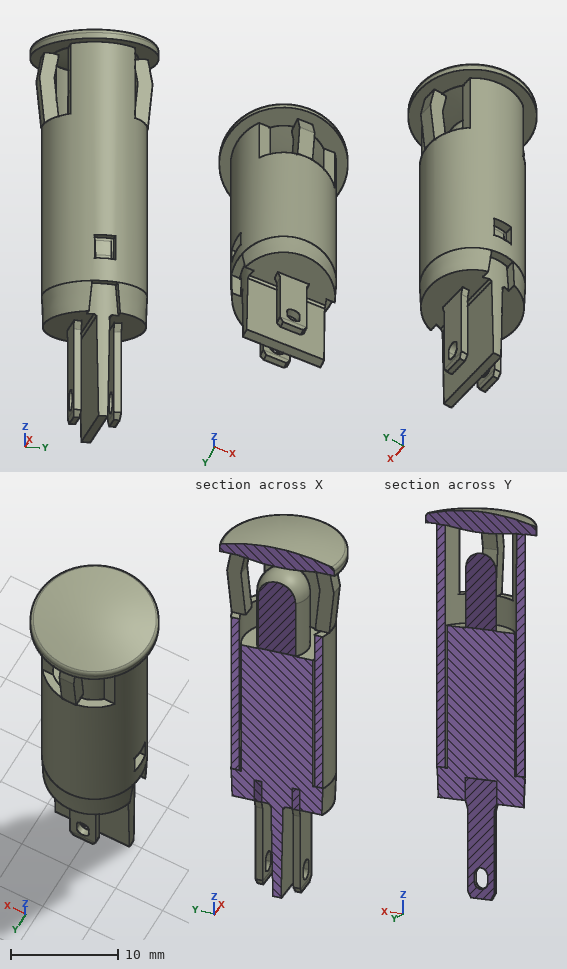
import cadquery as cq
import math

TOTAL_HEIGHT = 38.25
COLLAR_BOTTOM = 10.02
HOUSING_BOTTOM = 12.95
OPENING_BOTTOM = 29.55
HOUSING_TOP = 36.45

HOUSING_RADIUS = 4.95
BORE_RADIUS = 4.1
OPENING_HALF_DEPTH = 3.05
CLIP_WIDTH = 1.53
CLIP_THICKNESS = 1.4
CLIP_BULGE = 0.45
CLIP_KNEE_HEIGHT = 34.05
WINDOW_WIDTH = 2.0
WINDOW_BOTTOM = 15.2
WINDOW_TOP = 17.48

CAP_RADIUS = 6.0
CAP_RIM_TOP = 37.03
DOME_EDGE_RADIUS = 5.75
DOME_EDGE_HEIGHT = 37.4
LENS_BOTTOM = 36.0
DOME_RISE = TOTAL_HEIGHT - DOME_EDGE_HEIGHT
LENS_SURFACE_RADIUS = (DOME_EDGE_RADIUS**2 + DOME_RISE**2) / (2 * DOME_RISE)

LAMP_RADIUS = 2.5
LAMP_SHOULDER = 32.55

CORE_RADIUS = 3.98
CORE_TOP = 26.78
FIN_ROOT_THICKNESS = 1.25
FIN_TIP_THICKNESS = 0.88
FIN_ROOT_CHAMFER = 0.23
LUG_RADIUS = 4.2
LUG_WIDTH = 1.53
LUG_BOTTOM = 15.25
LUG_BAND_TOP = 15.75
LUG_TOP = 17.25
COLLAR_BOTTOM_RADIUS = 4.82
COLLAR_SLOT_TOP_WIDTH = 2.45
COLLAR_SLOT_BOTTOM_WIDTH = 3.0

TERMINAL_OFFSET = 1.9
TERMINAL_THICKNESS = 0.73
TERMINAL_WIDTH = 2.75
TERMINAL_ROOT_WIDTH = 3.2
TERMINAL_TIP = 0.7
TERMINAL_BEVEL_TOP = 1.35
TERMINAL_BEVEL_INSET = 0.35
TERMINAL_BEVEL_DEPTH = 0.08
TERMINAL_SHOULDER = 9.25
TERMINAL_TOP = 12.25
EYELET_WIDTH = 1.3
EYELET_LENGTH = 2.03
EYELET_HEIGHT = 2.68

SIDES = (-1, 1)


def cylinder(radius, bottom, top):
    return cq.Workplane("XY").workplane(offset=bottom).circle(radius).extrude(top - bottom)


def box_between(width, depth, bottom, top):
    """A box centred on the Z axis, from one height to another."""
    return cq.Workplane("XY").workplane(offset=bottom).rect(width, depth).extrude(top - bottom)


def extrude_across(profile, length):
    """Extrude a profile symmetrically to both sides of its plane."""
    return profile.extrude(length / 2, both=True)


def make_clip(side):
    """A bent panel clip standing in one side opening."""
    outer = HOUSING_RADIUS
    inner = outer - CLIP_THICKNESS
    points = [
        (side * inner, OPENING_BOTTOM),
        (side * outer, OPENING_BOTTOM),
        (side * (outer + CLIP_BULGE), CLIP_KNEE_HEIGHT),
        (side * outer, HOUSING_TOP),
        (side * inner, HOUSING_TOP),
        (side * (inner + CLIP_BULGE), CLIP_KNEE_HEIGHT),
    ]
    return extrude_across(cq.Workplane("YZ").polyline(points).close(), CLIP_WIDTH)


def make_housing(lens_cap):
    """Tube with two side openings, a clip in each, and two snap windows; the clips clear the lens."""
    diameter = 2 * HOUSING_RADIUS
    tube = cylinder(HOUSING_RADIUS, HOUSING_BOTTOM, HOUSING_TOP)
    tube = tube.cut(cylinder(BORE_RADIUS, HOUSING_BOTTOM, HOUSING_TOP))
    upper = box_between(diameter, diameter, OPENING_BOTTOM, HOUSING_TOP)
    kept = box_between(diameter, 2 * OPENING_HALF_DEPTH, OPENING_BOTTOM, HOUSING_TOP)
    tube = tube.cut(upper.cut(kept))
    tube = tube.cut(box_between(diameter, WINDOW_WIDTH, WINDOW_BOTTOM, WINDOW_TOP))
    for side in SIDES:
        tube = tube.union(make_clip(side))
    return tube.cut(lens_cap)


def lens_sag(radius):
    """Depth of the lens surface below its apex at a given radius."""
    return LENS_SURFACE_RADIUS - math.sqrt(LENS_SURFACE_RADIUS**2 - radius**2)


def make_lens_cap():
    """Rimmed lens, convex above and below, with a shallow plug in the bore."""
    plug_middle = BORE_RADIUS / 2
    dome_middle = DOME_EDGE_RADIUS / 2
    underside_middle = (plug_middle, LENS_BOTTOM + lens_sag(plug_middle))
    underside_edge = (BORE_RADIUS, LENS_BOTTOM + lens_sag(BORE_RADIUS))
    profile = (
        cq.Workplane("XZ")
        .moveTo(0, LENS_BOTTOM)
        .threePointArc(underside_middle, underside_edge)
        .lineTo(BORE_RADIUS, HOUSING_TOP)
        .lineTo(CAP_RADIUS, HOUSING_TOP)
        .lineTo(CAP_RADIUS, CAP_RIM_TOP)
        .tangentArcPoint((DOME_EDGE_RADIUS, DOME_EDGE_HEIGHT), relative=False)
        .threePointArc((dome_middle, TOTAL_HEIGHT - lens_sag(dome_middle)), (0, TOTAL_HEIGHT))
        .close()
    )
    return profile.revolve(360, (0, 0, 0), (0, 1, 0))


def make_lamp():
    """Cylindrical lamp with a hemispherical tip, standing on the core."""
    body = cylinder(LAMP_RADIUS, CORE_TOP, LAMP_SHOULDER)
    tip = cq.Workplane("XY").sphere(LAMP_RADIUS).translate((0, 0, LAMP_SHOULDER))
    return body.union(tip)


def make_lugs():
    """Snap lugs on both X sides, sloping out downwards from the core to an upright band."""
    profile = (
        cq.Workplane("XZ")
        .moveTo(0, LUG_BOTTOM)
        .lineTo(LUG_RADIUS, LUG_BOTTOM)
        .lineTo(LUG_RADIUS, LUG_BAND_TOP)
        .lineTo(CORE_RADIUS, LUG_TOP)
        .lineTo(0, LUG_TOP)
        .close()
    )
    ring = profile.revolve(360, (0, 0, 0), (0, 1, 0))
    return ring.intersect(box_between(2 * LUG_RADIUS, LUG_WIDTH, LUG_BOTTOM, LUG_TOP))


def make_fin():
    """Separator fin: tapered in thickness, chamfered at its root, round at its ends."""
    root = FIN_ROOT_THICKNESS / 2
    tip = FIN_TIP_THICKNESS / 2
    points = [
        (-tip, 0),
        (tip, 0),
        (root, COLLAR_BOTTOM - FIN_ROOT_CHAMFER),
        (root + FIN_ROOT_CHAMFER, COLLAR_BOTTOM),
        (-root - FIN_ROOT_CHAMFER, COLLAR_BOTTOM),
        (-root, COLLAR_BOTTOM - FIN_ROOT_CHAMFER),
    ]
    plate = extrude_across(cq.Workplane("YZ").polyline(points).close(), 2 * CORE_RADIUS)
    return plate.intersect(cylinder(CORE_RADIUS, 0, COLLAR_BOTTOM))


def make_collar():
    """Tapered shoulder around the core, slotted on both X sides."""
    cone = cq.Solid.makeCone(
        COLLAR_BOTTOM_RADIUS, HOUSING_RADIUS, HOUSING_BOTTOM - COLLAR_BOTTOM, cq.Vector(0, 0, COLLAR_BOTTOM)
    )
    top = COLLAR_SLOT_TOP_WIDTH / 2
    bottom = COLLAR_SLOT_BOTTOM_WIDTH / 2
    points = [
        (-bottom, COLLAR_BOTTOM),
        (bottom, COLLAR_BOTTOM),
        (top, HOUSING_BOTTOM),
        (-top, HOUSING_BOTTOM),
    ]
    slots = extrude_across(cq.Workplane("YZ").polyline(points).close(), 2 * HOUSING_RADIUS)
    return cq.Workplane(cone).cut(slots)


def make_base(terminals):
    """Core with collar, lugs and fin, recessed for the terminals."""
    base = cylinder(CORE_RADIUS, COLLAR_BOTTOM, CORE_TOP)
    for feature in (make_collar(), make_lugs(), make_fin()):
        base = base.union(feature)
    for terminal in terminals:
        base = base.cut(terminal)
    return base


def make_terminal(side):
    """Flat blade with a bevelled tip, an eyelet and a wider root."""
    half = TERMINAL_WIDTH / 2
    half_root = TERMINAL_ROOT_WIDTH / 2
    half_tip = half - TERMINAL_BEVEL_INSET
    outline = [
        (-half_tip, TERMINAL_TIP),
        (half_tip, TERMINAL_TIP),
        (half, TERMINAL_BEVEL_TOP),
        (half, TERMINAL_SHOULDER),
        (half_root, COLLAR_BOTTOM),
        (half_root, TERMINAL_TOP),
        (-half_root, TERMINAL_TOP),
        (-half_root, COLLAR_BOTTOM),
        (-half, TERMINAL_SHOULDER),
        (-half, TERMINAL_BEVEL_TOP),
    ]
    face = TERMINAL_THICKNESS / 2
    edge = face - TERMINAL_BEVEL_DEPTH
    section = [
        (-edge, TERMINAL_TIP),
        (edge, TERMINAL_TIP),
        (face, TERMINAL_BEVEL_TOP),
        (face, TERMINAL_TOP),
        (-face, TERMINAL_TOP),
        (-face, TERMINAL_BEVEL_TOP),
    ]
    blade = extrude_across(cq.Workplane("XZ").polyline(outline).close(), TERMINAL_THICKNESS)
    blade = blade.intersect(
        extrude_across(cq.Workplane("YZ").polyline(section).close(), TERMINAL_ROOT_WIDTH)
    )
    eyelet = cq.Workplane("XZ").center(0, EYELET_HEIGHT).slot2D(EYELET_LENGTH, EYELET_WIDTH, 90)
    blade = blade.cut(extrude_across(eyelet, TERMINAL_THICKNESS))
    return blade.translate((0, side * TERMINAL_OFFSET, 0))


terminals = [make_terminal(side) for side in SIDES]
lens_cap = make_lens_cap()
housing = make_housing(lens_cap)
lamp = make_lamp()
base = make_base(terminals)

result = cq.Compound.makeCompound(
    [
        housing.val(),
        lens_cap.val(),
        lamp.val(),
        base.val(),
        *[terminal.val() for terminal in terminals],
    ]
)